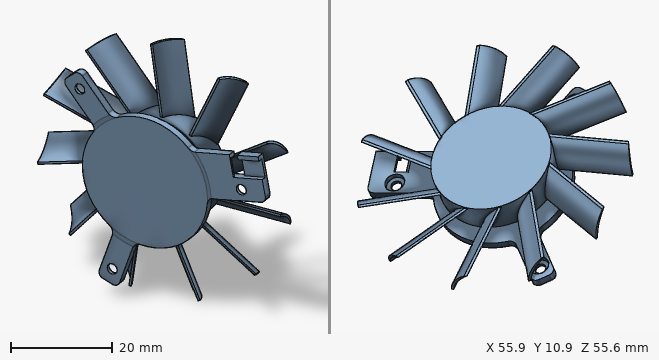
import cadquery as cq
import math


HUB_RADIUS = 12.3
HUB_FRONT = 4.5
HUB_BACK = 10.9
BLADE_COUNT = 11
BLADE_TIP_RADIUS = 28.0
BLADE_ROOT = 9.5
BLADE_FRONT = 5.4
BLADE_MIDDLE = 8.0
BLADE_BACK = 10.6
OUTER_FACE = {"front": -2.25, "middle": -3.35, "back": -6.3}
INNER_FACE = {"front": -2.75, "middle": -4.0, "back": -6.95}

DISC_RADIUS = 14.25
DISC_RECESS = 0.15
THICKNESS = 1.85
ARM_ANGLE = 10.9
ARM_SPACING = 120.0
ARM_HALF_WIDTH = 2.45
ARM_LENGTH = 25.7
ARM_SLOPE_RADIUS = 15.2
ARM_CORNER_RADIUS = 1.35
ARM_ROOT_FILLET = 1.8
HOLE_RADIUS = 1.1
HOLE_DISTANCE = 22.45
COUNTERBORE_RADIUS = 2.0
COUNTERBORE_DEPTH = 1.1

WIDE_ARM_LENGTH = 27.85
WIDE_ARM_TOP = 7.5
SLOT_START = 21.1
SLOT_FLOOR = 2.55
LIP_START = 22.95
CLIP_START = 23.15
CLIP_THICKNESS = 0.7
LIP_BOTTOM = 6.55
UNDERCUT_DEPTH = 1.0
UNDERCUT_FRONT = 0.5


def block(x_range, y_range, z_range):
    """Box between the given limits."""
    size = [high - low for low, high in (x_range, y_range, z_range)]
    return cq.Workplane("XY").box(*size, centered=False).translate((x_range[0], y_range[0], z_range[0]))


def disc(radius, front, back):
    """Cylinder on the Y axis."""
    return cq.Workplane("XZ", origin=(0, back, 0)).circle(radius).extrude(back - front)


def turned(shape, angle):
    """Shape turned about the Y axis, from +X towards +Z."""
    return shape.rotate((0, 0, 0), (0, 1, 0), -angle)


def make_blade():
    """One blade along +X, with a curved section and a round tip."""
    section = (
        cq.Workplane("YZ", origin=(BLADE_ROOT, 0, 0))
        .moveTo(BLADE_FRONT, OUTER_FACE["front"])
        .threePointArc((BLADE_MIDDLE, OUTER_FACE["middle"]), (BLADE_BACK, OUTER_FACE["back"]))
        .lineTo(BLADE_BACK, INNER_FACE["back"])
        .threePointArc((BLADE_MIDDLE, INNER_FACE["middle"]), (BLADE_FRONT, INNER_FACE["front"]))
        .close()
    )
    blade = section.extrude(BLADE_TIP_RADIUS - BLADE_ROOT)
    return blade.intersect(disc(BLADE_TIP_RADIUS, HUB_FRONT, HUB_BACK))


def make_fan():
    fan = disc(HUB_RADIUS, HUB_FRONT, HUB_BACK)
    blade = make_blade()
    for i in range(BLADE_COUNT):
        fan = fan.union(turned(blade, i * 360 / BLADE_COUNT))
    return fan.solids()


def root_fillet(edge):
    """Concave corner filler between the disc and the arm side that lies at Z = edge."""
    side = math.copysign(1, edge)
    centre_z = edge + side * ARM_ROOT_FILLET
    centre_x = math.sqrt((DISC_RADIUS + ARM_ROOT_FILLET) ** 2 - centre_z**2)
    to_disc = DISC_RADIUS / (DISC_RADIUS + ARM_ROOT_FILLET)
    filler = (
        cq.Workplane("XZ", origin=(0, THICKNESS, 0))
        .moveTo(centre_x, edge)
        .lineTo(centre_x * to_disc - ARM_ROOT_FILLET, edge)
        .lineTo(centre_x * to_disc, centre_z * to_disc)
        .lineTo(centre_x, centre_z)
        .close()
        .extrude(THICKNESS)
    )
    round_cut = disc(ARM_ROOT_FILLET, 0, THICKNESS).translate((centre_x, 0, centre_z))
    return filler.cut(round_cut)


def make_arm(length, top):
    """Flat arm along +X from the axis, with root fillets; its end corners are left sharp."""
    arm = block((0, length), (0, THICKNESS), (-ARM_HALF_WIDTH, top))
    return arm.union(root_fillet(-ARM_HALF_WIDTH)).union(root_fillet(top))


def make_narrow_arm():
    arm = make_arm(ARM_LENGTH, ARM_HALF_WIDTH)
    return arm.edges("|Y and >X").fillet(ARM_CORNER_RADIUS)


def make_wide_arm():
    """Wide arm with one round corner, a slot, and a thin clip that ends in a full-thickness lip."""
    arm = make_arm(WIDE_ARM_LENGTH, WIDE_ARM_TOP)
    arm = arm.edges("|Y and >X").edges("<Z").fillet(ARM_CORNER_RADIUS)
    slot = block((SLOT_START, CLIP_START), (0, THICKNESS), (SLOT_FLOOR, LIP_BOTTOM))
    slot_mouth = block((SLOT_START, LIP_START), (0, THICKNESS), (LIP_BOTTOM, WIDE_ARM_TOP))
    clip_recess = block(
        (CLIP_START, WIDE_ARM_LENGTH), (0, THICKNESS - CLIP_THICKNESS), (SLOT_FLOOR, LIP_BOTTOM)
    )
    undercut = block(
        (SLOT_START - UNDERCUT_DEPTH, SLOT_START), (UNDERCUT_FRONT, THICKNESS), (SLOT_FLOOR, LIP_BOTTOM)
    )
    return arm.cut(slot).cut(slot_mouth).cut(clip_recess).cut(undercut)


def make_face_recess():
    """Shallow dish that sinks the disc face and slopes up to the arm faces."""
    return (
        cq.Workplane("XY")
        .polyline([(0, 0), (ARM_SLOPE_RADIUS, 0), (DISC_RADIUS, DISC_RECESS), (0, DISC_RECESS)])
        .close()
        .revolve(360, (0, 0, 0), (0, 1, 0))
    )


def make_arm_hole():
    """Through hole of an arm, counterbored from the fan side."""
    through = disc(HOLE_RADIUS, 0, THICKNESS)
    counterbore = disc(COUNTERBORE_RADIUS, THICKNESS - COUNTERBORE_DEPTH, THICKNESS)
    return through.union(counterbore).translate((HOLE_DISTANCE, 0, 0))


def make_bracket():
    bracket = disc(DISC_RADIUS, 0, THICKNESS)
    hole = make_arm_hole()
    for i, arm in enumerate([make_wide_arm(), make_narrow_arm(), make_narrow_arm()]):
        bracket = bracket.union(turned(arm.cut(hole), ARM_ANGLE + i * ARM_SPACING))
    return bracket.cut(make_face_recess()).solids()


fan = make_fan()
bracket = make_bracket()

result = cq.Compound.makeCompound([fan.val(), bracket.val()])